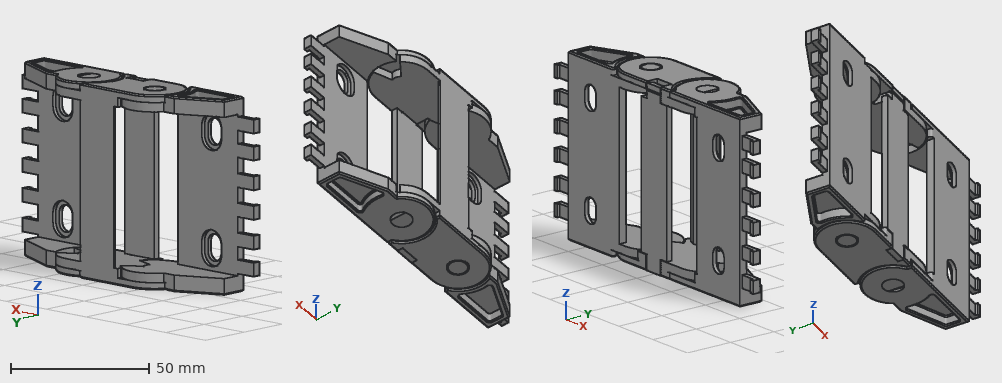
import cadquery as cq
import math

PIVOT_PITCH = 33.1
RIGHT_PIVOT_X = PIVOT_PITCH / 2
LEFT_PIVOT_X = -RIGHT_PIVOT_X
HEIGHT = 24.0
DISC_RADIUS = HEIGHT / 2
PIVOT_Y = DISC_RADIUS
OUTER_Z = 36.02
LAYER_Z = 33.3
INNER_Z = 29.8
EDGE_CHAMFER = 0.6

RELIEF_RADIUS = 12.4
RELIEF_STOP = 7.1
RELIEF_ROUND = 0.9
PIN_RADIUS = 4.1
PIN_CHAMFER = 0.5
PIN_RAMP_START = 2.2
PIN_RAMP_DROP = 1.2
HUB_RADIUS = PIN_RADIUS
SECTOR_START = -20
SECTOR_END = 35

PLATE_THICKNESS = 3.1
SHOULDER_HEIGHT = 18.1
SHOULDER_LENGTH = 15.5
END_HEIGHT = 10.0
LEFT_END_LENGTH = 33.1
RIGHT_END_LENGTH = 34.1
LEFT_PLATE_START = 3.1
RIGHT_PLATE_START = 8.8
RIGHT_HEEL_LENGTH = 7.0
RIGHT_HEEL_HEIGHT = 5.8
POCKET_WALL = 2.4
POCKET_HUB_RADIUS = 15.0
POCKET_DEPTH = 4.1
POCKET_FILLET = 0.9
POCKET_CHAMFER = 0.5
SLOT_WIDTH = 6.5
SLOT_LENGTH = 10.1
SLOT_Z = 21.5
SLOT_LAND = 1.6
SLOT_RIM = 1.7
LEFT_SLOT_OFFSET = 20.1
RIGHT_SLOT_OFFSET = 21.6

OVERALL_LENGTH = 116
LEFT_TONGUE_LENGTH = 8.0
RIGHT_TONGUE_LENGTH = OVERALL_LENGTH - PIVOT_PITCH - LEFT_END_LENGTH - LEFT_TONGUE_LENGTH - RIGHT_END_LENGTH
TONGUE_WIDTH = 5.1
TONGUE_BOTTOM = 1.0
TOE_LENGTH = 1.7
TONGUE_OUTER_Z = 26.5
TONGUE_MIDDLE_Z = 16.5
TONGUE_INNER_Z = 5.5
RIGHT_TONGUE_SHIFT = 1.0

LID_WIDTH = 14.8
LID_FACE_Y = 0.3
LID_BACK_Y = 2.8
LID_TOP_GAP = 0.2
NECK_WIDTH = 8.4
NECK_TOP_Z = 32.6
BEAD_RADIUS = 0.64
BEAD_Y = LID_FACE_Y + BEAD_RADIUS
RECESS_HEIGHT = 5.2
RECESS_BACK_Z = 34.0
RECESS_CREST_Y = 2.5
RECESS_CREST_Z = 35.3
RECESS_FRONT_Z = 35.5
NOTCH_HEIGHT = 7.8
BAR_BOTTOM = 21.1
BAR_CENTER = 0.87
BAR_BOTTOM_HALF = 4.1
BAR_BEVEL_HALF = 7.0
BAR_BEVEL_Y = 22.3
BAR_HALF = 8.4
BAR_LIP_Y = 23.2


def box(x0, x1, y0, y1, z0, z1):
    """Axis-aligned block between opposite corners."""
    return cq.Workplane("XY").box(x1 - x0, y1 - y0, z1 - z0, centered=False).translate((x0, y0, z0))


def disc(x, radius, z0, z1):
    """Disc about a hinge axis at the given X."""
    return cq.Workplane("XY", origin=(x, PIVOT_Y, z0)).circle(radius).extrude(z1 - z0)


def both_sides(wall):
    """A +Z side wall and its mirror image."""
    return wall.union(wall.mirror("XY"))


def relief(x, side, z0, z1):
    """Clearance around a neighbouring disc, running square to the top and bottom on one side."""
    flare = RELIEF_STOP + RELIEF_ROUND
    bulge = RELIEF_ROUND * (1 - math.sqrt(0.5))
    throat = (
        cq.Workplane("XY", origin=(x, 0, z0))
        .lineTo(side * flare, 0)
        .threePointArc((side * (RELIEF_STOP + bulge), bulge), (side * RELIEF_STOP, RELIEF_ROUND))
        .lineTo(side * RELIEF_STOP, HEIGHT)
        .lineTo(0, HEIGHT)
        .close()
        .extrude(z1 - z0)
    )
    return throat.union(disc(x, RELIEF_RADIUS, z0, z1))


def stop_sector(x, radius):
    """Pie-shaped region of the inner layer outside the hub, between the swing stop angles."""
    def at(angle):
        turn = math.radians(angle)
        return radius * math.cos(turn), radius * math.sin(turn)

    pie = (
        cq.Workplane("XY", origin=(x, PIVOT_Y, INNER_Z))
        .lineTo(*at(SECTOR_START))
        .threePointArc(at((SECTOR_START + SECTOR_END) / 2), at(SECTOR_END))
        .close()
        .extrude(LAYER_Z - INNER_Z)
    )
    return pie.cut(disc(x, HUB_RADIUS, INNER_Z, LAYER_Z))


def end_profile(length, z0, z1):
    """Wedge-shaped side wall from the pivot to the end face."""
    return (
        cq.Workplane("XY", origin=(0, 0, z0))
        .polyline([(0, 0), (length, 0), (length, END_HEIGHT),
                   (SHOULDER_LENGTH, SHOULDER_HEIGHT), (0, SHOULDER_HEIGHT)])
        .close()
        .extrude(z1 - z0)
    )


def end_pocket(length):
    """Cutter for the weight-saving pocket, concentric with the hinge on one side."""
    slope = math.atan2(SHOULDER_HEIGHT - END_HEIGHT, length - SHOULDER_LENGTH)
    rise = math.tan(slope)
    far = length - POCKET_WALL
    far_height = END_HEIGHT + POCKET_WALL * rise - POCKET_WALL / math.cos(slope)
    near_height = far_height + far * rise
    core = (
        cq.Workplane("XY", origin=(0, 0, OUTER_Z - POCKET_DEPTH))
        .polyline([(0, POCKET_WALL), (far, POCKET_WALL), (far, far_height), (0, near_height)])
        .close()
        .extrude(POCKET_DEPTH)
        .cut(disc(0, POCKET_HUB_RADIUS, INNER_Z, OUTER_Z))
    )
    core = core.intersect(box(0, length, 0, SHOULDER_HEIGHT, INNER_Z, OUTER_Z))
    return core.edges("|Z").fillet(POCKET_FILLET)


def pocketed(outer, pocket):
    """Outer layer with the pocket cut through it and its rim chamfered."""
    layer = outer.cut(pocket)
    rim = layer.faces(">Z").val().innerWires()[0]
    return cq.Workplane(layer.solids().val().chamfer(POCKET_CHAMFER, None, rim.Edges()))


def end_plate(start, length, slot_offset):
    """Mounting plate with two oblong screw slots, counterbored from the inside."""
    plate = box(start, length, 0, PLATE_THICKNESS, -INNER_Z, INNER_Z)
    for depth, rim in ((0, 0), (SLOT_LAND, SLOT_RIM)):
        slots = (
            cq.Workplane("XZ", origin=(slot_offset, depth, 0))
            .pushPoints([(0, -SLOT_Z), (0, SLOT_Z)])
            .slot2D(SLOT_LENGTH + 2 * rim, SLOT_WIDTH + 2 * rim, 90)
            .extrude(depth - PLATE_THICKNESS)
        )
        plate = plate.cut(slots)
    return plate


def tongues(length, reach, inner_shift):
    """Row of six comb tongues, each with a downturned toe."""
    tip = length + reach
    inner = [TONGUE_MIDDLE_Z, TONGUE_INNER_Z, -TONGUE_INNER_Z, -TONGUE_MIDDLE_Z]
    row = cq.Workplane("XY")
    for z in [TONGUE_OUTER_Z] + [place + inner_shift for place in inner] + [-TONGUE_OUTER_Z]:
        bottom = z - TONGUE_WIDTH / 2
        top = z + TONGUE_WIDTH / 2
        row = row.union(box(length, tip, TONGUE_BOTTOM, PLATE_THICKNESS, bottom, top))
        row = row.union(box(tip - TOE_LENGTH, tip, 0, PLATE_THICKNESS, bottom, top))
    return row


def make_left_end():
    """Connector whose inner discs carry pins that turn in the link."""
    inner = end_profile(LEFT_END_LENGTH, INNER_Z, LAYER_Z).union(disc(0, DISC_RADIUS, INNER_Z, LAYER_Z))
    inner = inner.cut(stop_sector(0, HEIGHT).mirror("YZ"))
    outer = end_profile(LEFT_END_LENGTH, LAYER_Z, OUTER_Z).cut(relief(0, 1, LAYER_Z, OUTER_Z))
    pocket = end_pocket(LEFT_END_LENGTH)
    outer = pocketed(outer.faces(">Z").chamfer(EDGE_CHAMFER), pocket)
    pin = disc(0, PIN_RADIUS, LAYER_Z, OUTER_Z).faces(">Z").chamfer(PIN_CHAMFER)
    wall = inner.cut(pocket).union(outer).union(pin)
    end = both_sides(wall)
    end = end.union(end_plate(LEFT_PLATE_START, LEFT_END_LENGTH, LEFT_SLOT_OFFSET))
    end = end.union(tongues(LEFT_END_LENGTH, LEFT_TONGUE_LENGTH, 0))
    return end.mirror("YZ").translate((LEFT_PIVOT_X, 0, 0))


def make_right_end():
    """Connector whose outer discs are bored for the pins of the link."""
    inner = end_profile(RIGHT_END_LENGTH, INNER_Z, LAYER_Z).cut(relief(0, 1, INNER_Z, LAYER_Z))
    outer = (
        end_profile(RIGHT_END_LENGTH, LAYER_Z, OUTER_Z)
        .union(disc(0, DISC_RADIUS, LAYER_Z, OUTER_Z))
        .union(box(-RIGHT_HEEL_LENGTH, 0, 0, RIGHT_HEEL_HEIGHT, LAYER_Z, OUTER_Z))
        .faces(">Z").chamfer(EDGE_CHAMFER)
    )
    pocket = end_pocket(RIGHT_END_LENGTH).faces("<Z").chamfer(POCKET_CHAMFER)
    outer = pocketed(outer, pocket).cut(disc(0, PIN_RADIUS, LAYER_Z, OUTER_Z))
    wall = inner.cut(pocket).union(outer)
    end = both_sides(wall)
    end = end.union(end_plate(RIGHT_PLATE_START, RIGHT_END_LENGTH, RIGHT_SLOT_OFFSET))
    end = end.union(tongues(RIGHT_END_LENGTH, RIGHT_TONGUE_LENGTH, RIGHT_TONGUE_SHIFT))
    return end.translate((RIGHT_PIVOT_X, 0, 0))


def link_pin():
    """Pin on the right disc, with a ramp that eases it into the bore."""
    pin = disc(RIGHT_PIVOT_X, PIN_RADIUS, LAYER_Z, OUTER_Z)
    ramp = (
        cq.Workplane("XZ", origin=(RIGHT_PIVOT_X, 0, 0))
        .polyline([(PIN_RAMP_START, OUTER_Z), (PIN_RADIUS, OUTER_Z), (PIN_RADIUS, OUTER_Z - PIN_RAMP_DROP)])
        .close()
        .extrude(-HEIGHT)
    )
    return pin.cut(ramp)


def link_wall():
    """Side wall: outer layer over the left hinge, inner layer under the right hinge."""
    outer = (
        box(LEFT_PIVOT_X, RIGHT_PIVOT_X, 0, HEIGHT, LAYER_Z, OUTER_Z)
        .union(disc(LEFT_PIVOT_X, DISC_RADIUS, LAYER_Z, OUTER_Z))
        .cut(relief(RIGHT_PIVOT_X, -1, LAYER_Z, OUTER_Z))
        .faces(">Z").chamfer(EDGE_CHAMFER)
        .cut(disc(LEFT_PIVOT_X, PIN_RADIUS, LAYER_Z, OUTER_Z))
    )
    inner = (
        box(LEFT_PIVOT_X, RIGHT_PIVOT_X, 0, HEIGHT, INNER_Z, LAYER_Z)
        .cut(relief(LEFT_PIVOT_X, 1, INNER_Z, LAYER_Z))
        .union(disc(RIGHT_PIVOT_X, DISC_RADIUS, INNER_Z, LAYER_Z))
        .cut(stop_sector(RIGHT_PIVOT_X, HEIGHT))
        .union(stop_sector(LEFT_PIVOT_X, RELIEF_RADIUS))
    )
    return inner.union(outer).union(link_pin())


def crossbar():
    """Fixed bar joining the two walls at the top, with bevelled lower edges."""
    return (
        cq.Workplane("XY", origin=(BAR_CENTER, 0, -INNER_Z))
        .polyline([(-BAR_BOTTOM_HALF, BAR_BOTTOM), (BAR_BOTTOM_HALF, BAR_BOTTOM),
                   (BAR_BEVEL_HALF, BAR_BEVEL_Y), (BAR_HALF, BAR_LIP_Y), (BAR_HALF, HEIGHT),
                   (-BAR_HALF, HEIGHT), (-BAR_HALF, BAR_LIP_Y), (-BAR_BEVEL_HALF, BAR_BEVEL_Y)])
        .close()
        .extrude(2 * INNER_Z)
    )


def latch_recess():
    """Recess in the +Z wall above the lid neck, with a rounded floor and a set-back face."""
    return (
        cq.Workplane("YZ", origin=(-NECK_WIDTH / 2, 0, 0))
        .moveTo(0, NECK_TOP_Z)
        .lineTo(LID_FACE_Y, NECK_TOP_Z)
        .lineTo(LID_FACE_Y, RECESS_FRONT_Z)
        .threePointArc((RECESS_CREST_Y, RECESS_CREST_Z), (RECESS_HEIGHT, RECESS_BACK_Z))
        .lineTo(RECESS_HEIGHT, OUTER_Z)
        .lineTo(0, OUTER_Z)
        .close()
        .extrude(NECK_WIDTH)
    )


def latch_notch():
    """Opening in the inner layer of the +Z wall, on the left of the neck."""
    return box(LEFT_PIVOT_X, -NECK_WIDTH / 2, 0, NOTCH_HEIGHT, INNER_Z, LAYER_Z)


def neck_mouth():
    """Opening in both walls in front of the set-back lid neck."""
    return box(-NECK_WIDTH / 2, NECK_WIDTH / 2, 0, LID_FACE_Y, -OUTER_Z, NECK_TOP_Z)


def make_lid():
    """Opening crossbar: a wide strip, and a narrow neck seated in both walls with a snap bead at +Z."""
    half_neck = NECK_WIDTH / 2
    bead_z = NECK_TOP_Z + BEAD_RADIUS
    strip = box(-LID_WIDTH / 2, LID_WIDTH / 2, LID_FACE_Y, LID_BACK_Y, -INNER_Z, INNER_Z - LID_TOP_GAP)
    neck = box(-half_neck, half_neck, LID_FACE_Y, LID_BACK_Y, -OUTER_Z, NECK_TOP_Z)
    tip = box(-half_neck, half_neck, BEAD_Y, LID_BACK_Y, NECK_TOP_Z, bead_z)
    bead = cq.Workplane("YZ", origin=(-half_neck, BEAD_Y, bead_z)).circle(BEAD_RADIUS).extrude(NECK_WIDTH)
    return strip.union(neck).union(tip).union(bead)


lid = make_lid()
left_end = make_left_end()
right_end = make_right_end()
link = (
    both_sides(link_wall())
    .union(crossbar())
    .cut(latch_recess())
    .cut(latch_notch())
    .cut(neck_mouth())
    .cut(lid)
)

result = cq.Compound.makeCompound([left_end.val(), link.val(), right_end.val(), lid.val()])